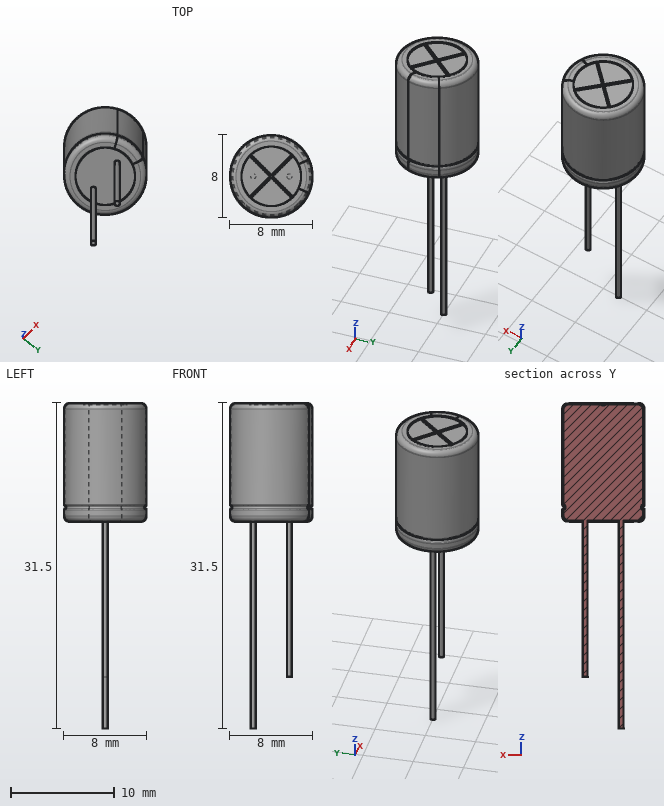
import cadquery as cq
import math


overall_length = 31.5
sleeve_diameter = 8.0
flat_diameter = 6.85
opening_diameter = 5.75
wall = 0.11
height = 11.5
corner_radius = (sleeve_diameter - flat_diameter) / 2

groove_height = 1.42
groove_width = 0.57
neck_diameter = 7.62
lip_radius = 0.2
half_width = groove_width / 2
groove_depth = (sleeve_diameter - neck_diameter) / 2
arc_centre_distance = (groove_depth**2 + half_width**2) / (2 * groove_depth)
groove_radius = arc_centre_distance - lip_radius

stripe_angle = 48

vent_width = 0.15
vent_depth = 0.1
vent_directions = (45, 135)

lead_diameter = 0.5
lead_pitch = 3.5
long_lead_length = overall_length - height
lead_length_difference = 5.0


def grooved_cylinder(inset):
    """Solid bounded by the outer sleeve surface moved inward by inset on every side."""
    radius = sleeve_diameter / 2 - inset
    bottom = inset
    top = height - inset
    corner = corner_radius - inset
    corner_middle = corner * (1 - math.sqrt(0.5))
    neck_radius = neck_diameter / 2 - inset
    lip = lip_radius - inset
    groove = groove_radius + inset

    groove_share = groove / arc_centre_distance
    joint_radius = neck_radius + groove_share * groove_depth
    joint_offset = groove_share * half_width

    half_lip_angle = math.acos(1 - groove_depth / arc_centre_distance) / 2
    lip_middle_radius = radius - lip * (1 - math.cos(half_lip_angle))
    lip_middle_offset = half_width - lip * math.sin(half_lip_angle)

    return (
        cq.Workplane("XZ")
        .moveTo(0, bottom)
        .lineTo(radius - corner, bottom)
        .threePointArc((radius - corner_middle, bottom + corner_middle), (radius, bottom + corner))
        .lineTo(radius, groove_height - half_width)
        .threePointArc(
            (lip_middle_radius, groove_height - lip_middle_offset),
            (joint_radius, groove_height - joint_offset),
        )
        .threePointArc((neck_radius, groove_height), (joint_radius, groove_height + joint_offset))
        .threePointArc(
            (lip_middle_radius, groove_height + lip_middle_offset),
            (radius, groove_height + half_width),
        )
        .lineTo(radius, top - corner)
        .threePointArc((radius - corner_middle, top - corner_middle), (radius - corner, top))
        .lineTo(0, top)
        .close()
        .revolve(360, (0, 0), (0, 1))
    )


def make_jacket():
    """Full ring of sleeve material around the can, open at both ends."""
    opening = cq.Workplane("XY").circle(opening_diameter / 2).extrude(height)
    return grooved_cylinder(0).cut(grooved_cylinder(wall)).cut(opening)


def make_stripe_sector():
    """Wedge from the axis outward that covers the stripe angle around +X."""
    return (
        cq.Workplane("XZ")
        .rect(sleeve_diameter, height, centered=False)
        .revolve(stripe_angle, (0, 0), (0, 1))
        .rotate((0, 0, 0), (0, 0, 1), -stripe_angle / 2)
    )


def make_lead(x, length):
    """Round lead hanging down from the can floor to length below the underside."""
    return (
        cq.Workplane("XY", origin=(x, 0, -length))
        .circle(lead_diameter / 2)
        .extrude(length + 2 * wall)
    )


def make_can():
    """Can with the vent cross in its top and both leads."""
    can = grooved_cylinder(wall)
    vent_centre_height = height - wall - vent_depth / 2
    for direction in vent_directions:
        groove = (
            cq.Workplane("XY", origin=(0, 0, vent_centre_height))
            .box(opening_diameter, vent_width, vent_depth)
            .rotate((0, 0, 0), (0, 0, 1), direction)
        )
        can = can.cut(groove)
    can = can.union(make_lead(-lead_pitch / 2, long_lead_length))
    return can.union(make_lead(lead_pitch / 2, long_lead_length - lead_length_difference))


can = make_can()
jacket = make_jacket()
sector = make_stripe_sector()
sleeve = jacket.cut(sector)
stripe = jacket.intersect(sector)

result = cq.Compound.makeCompound([can.val(), sleeve.val(), stripe.val()])